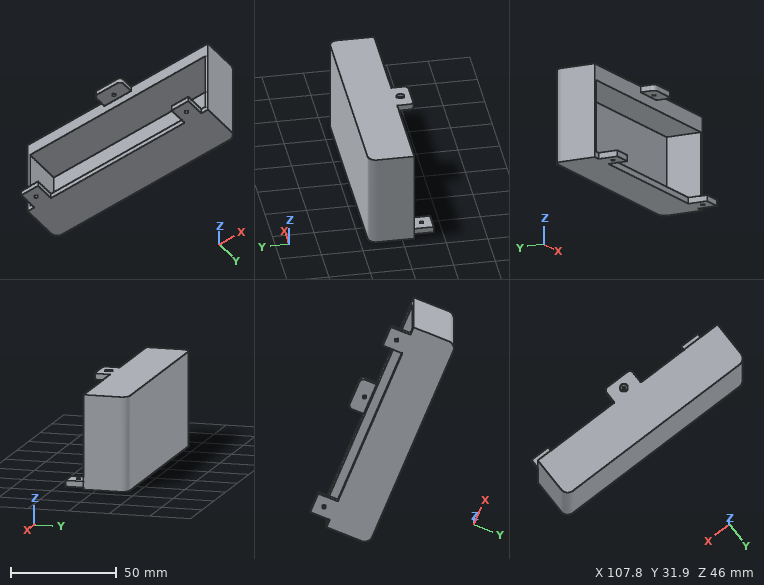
import cadquery as cq

length = 107.8
height = 46.0
depth = 21.9
back_corner_radius = 4.0

side_wall = 1.5
back_wall = 3.5
top_wall = 7.9
floor = 3.0

lug_size = 10.0
lug_inset = 4.0
lug_hole_diameter = 1.7

tab_width = 16.0
tab_reach = 8.0
tab_thickness = 3.0
tab_corner_radius = 2.0
tab_hole_offset = 2.9
tab_hole_diameter = 1.6
tab_counterbore_diameter = 3.8
tab_counterbore_depth = tab_thickness / 2


def make_housing():
    """Box with rounded rear corners and a cavity open to the front."""
    box = cq.Workplane("XY").box(length, depth, height, centered=(True, False, False))
    box = box.edges("|Z and >Y").fillet(back_corner_radius)
    cavity = cq.Workplane("XY").box(
        length - 2 * side_wall,
        depth - back_wall,
        height - floor - top_wall,
        centered=(True, False, False),
    )
    return box.cut(cavity.translate((0, 0, floor)))


def make_lug(center_x):
    """Square lug in front of the floor with a central through hole."""
    return (
        cq.Workplane("XY")
        .center(center_x, -lug_size / 2)
        .rect(lug_size, lug_size)
        .circle(lug_hole_diameter / 2)
        .extrude(floor)
    )


def make_tab():
    """Tab flush with the top face, counterbored from above."""
    tab = (
        cq.Workplane("XY", origin=(0, -tab_reach / 2, height - tab_thickness))
        .rect(tab_width, tab_reach)
        .extrude(tab_thickness)
        .edges("|Z and <Y")
        .fillet(tab_corner_radius)
    )
    return (
        tab.faces(">Z")
        .workplane(origin=(0, -tab_hole_offset, height))
        .cboreHole(tab_hole_diameter, tab_counterbore_diameter, tab_counterbore_depth)
    )


result = make_housing().union(make_tab())
lug_center_x = length / 2 - lug_inset - lug_size / 2
for side in (-1, 1):
    result = result.union(make_lug(side * lug_center_x))